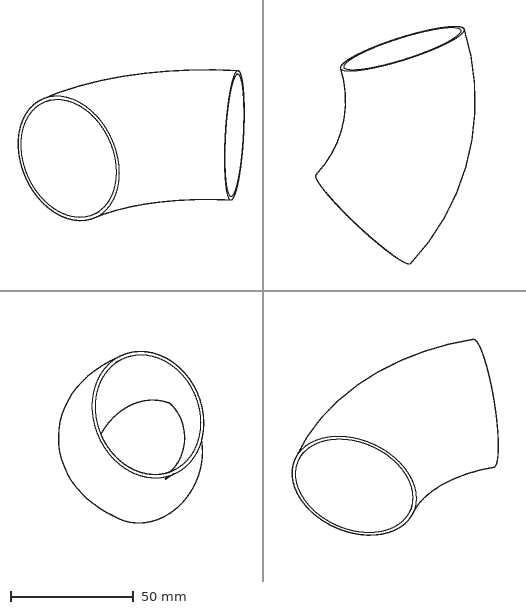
import cadquery as cq

outer_diameter = 53.0
wall_thickness = 1.5
bend_radius = 72.5
bend_angle = 60.0

outer_radius = outer_diameter / 2
inner_radius = outer_radius - wall_thickness


def make_elbow():
    """Sweep the pipe ring about a vertical axis, from the XZ plane toward +Y and +X."""
    ring = cq.Workplane("XZ").circle(outer_radius).circle(inner_radius)
    axis_start = (bend_radius, 0)
    axis_end = (bend_radius, -1)
    return ring.revolve(bend_angle, axis_start, axis_end)


result = make_elbow()